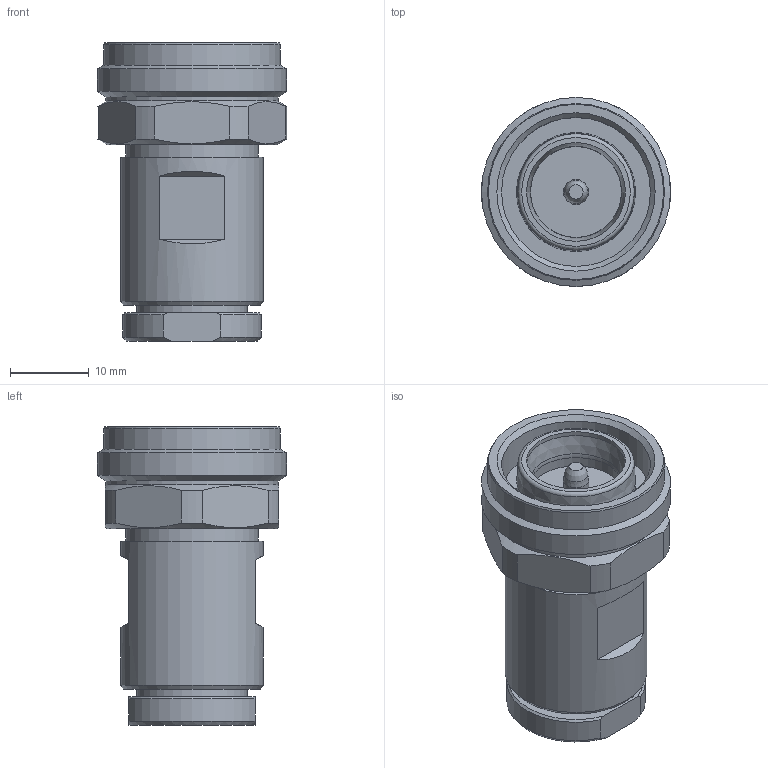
import cadquery as cq
import math


TOP_Z = 37.85

NUT_R = 8.8
NUT_TOP_Z = 3.6
NUT_TOP_CHAMFER = 0.25
NUT_BOTTOM_CHAMFER_R = 0.4
NUT_BOTTOM_CHAMFER_Z = 0.5
FLAT_Y = 8.0

NECK_R = 7.0

BODY_R = 9.03
BODY_BOTTOM_Z = 4.55
BODY_TOP_Z = 23.35
BODY_CHAMFER_R = 0.35
BODY_CHAMFER_Z = 0.5
WRENCH_FLAT_BOTTOM_Z = 12.95
WRENCH_FLAT_HEIGHT = 8.0
WRENCH_RAMP_ANGLE = 30.0

UPPER_NECK_R = 8.42

HEX_ACROSS_FLATS = 22.0
HEX_TURN_ANGLE = 30.0
HEX_CORNER_R = 12.0
HEX_BOTTOM_Z = 24.95
HEX_TOP_Z = 30.5
HEX_END_R = 10.8
HEX_CHAMFER_ANGLE = 30.0

COLLAR_R = 10.95
FLANGE_R = 12.0
FLANGE_BOTTOM_Z = 31.0
FLANGE_FULL_Z = 31.7
FLANGE_TOP_Z = 35.0
FLANGE_CHAMFER_Z = 0.42
LIP_R = 11.22
LIP_CHAMFER_R = 0.1
LIP_CHAMFER_Z = 0.25
MOUTH_R = 9.45
MOUTH_CHAMFER = 0.6
MOUTH_DEPTH = 4.8

TUBE_BASE_R = 7.55
TUBE_TAPER_END_DEPTH = 3.1
TUBE_SHOULDER_R = 7.38
TUBE_RIM_R = 6.9
TUBE_ROUND_DEPTH = 0.45
BORE_R = 5.77
BORE_ENTRY_R = 6.27
BORE_ENTRY_DEPTH = 0.58
BORE_TAPER_END_R = 5.82
BORE_TAPER_END_DEPTH = 3.09
BORE_BLEND_END_DEPTH = 3.65
BORE_DEPTH = 4.95

PIN_R = 1.6
PIN_TAPER_BASE_DEPTH = 3.1
PIN_NOSE_R = 1.5
PIN_NOSE_BASE_DEPTH = 2.25
PIN_TIP_R = 0.9
PIN_TIP_DEPTH = 0.93


def revolve_outline(outline):
    """Close an (r, z) outline and turn it about the Z axis."""
    return outline.close().revolve(360, (0, 0, 0), (0, 1, 0))


def below_top(depth):
    return TOP_Z - depth


def make_rear_nut():
    outline = (
        cq.Workplane("XZ")
        .lineTo(NUT_R - NUT_BOTTOM_CHAMFER_R, 0)
        .lineTo(NUT_R, NUT_BOTTOM_CHAMFER_Z)
        .lineTo(NUT_R, NUT_TOP_Z - NUT_TOP_CHAMFER)
        .lineTo(NUT_R - NUT_TOP_CHAMFER, NUT_TOP_Z)
        .lineTo(0, NUT_TOP_Z)
    )
    flats_slab = cq.Workplane("XY").rect(2 * NUT_R, 2 * FLAT_Y).extrude(NUT_TOP_Z)
    return revolve_outline(outline).intersect(flats_slab)


def make_body():
    outline = (
        cq.Workplane("XZ")
        .moveTo(0, NUT_TOP_Z)
        .lineTo(NECK_R, NUT_TOP_Z)
        .lineTo(NECK_R, BODY_BOTTOM_Z)
        .lineTo(BODY_R - BODY_CHAMFER_R, BODY_BOTTOM_Z)
        .lineTo(BODY_R, BODY_BOTTOM_Z + BODY_CHAMFER_Z)
        .lineTo(BODY_R, BODY_TOP_Z)
        .lineTo(UPPER_NECK_R, BODY_TOP_Z)
        .lineTo(UPPER_NECK_R, HEX_BOTTOM_Z)
        .lineTo(0, HEX_BOTTOM_Z)
    )
    body = revolve_outline(outline)
    for side in (1, -1):
        body = body.cut(make_wrench_cut(side))
    return body


def make_wrench_cut(side):
    """Trapezoidal cutter whose ramped ends widen away from the flat."""
    flat_top_z = WRENCH_FLAT_BOTTOM_Z + WRENCH_FLAT_HEIGHT
    outer_y = 2 * FLAT_Y
    ramp = (outer_y - FLAT_Y) * math.tan(math.radians(WRENCH_RAMP_ANGLE))
    return (
        cq.Workplane("YZ")
        .moveTo(side * FLAT_Y, WRENCH_FLAT_BOTTOM_Z)
        .lineTo(side * outer_y, WRENCH_FLAT_BOTTOM_Z - ramp)
        .lineTo(side * outer_y, flat_top_z + ramp)
        .lineTo(side * FLAT_Y, flat_top_z)
        .close()
        .extrude(BODY_R, both=True)
    )


def make_hex_grip():
    chamfer_z = (HEX_CORNER_R - HEX_END_R) * math.tan(math.radians(HEX_CHAMFER_ANGLE))
    outline = (
        cq.Workplane("XZ")
        .moveTo(0, HEX_BOTTOM_Z)
        .lineTo(HEX_END_R, HEX_BOTTOM_Z)
        .lineTo(HEX_CORNER_R, HEX_BOTTOM_Z + chamfer_z)
        .lineTo(HEX_CORNER_R, HEX_TOP_Z - chamfer_z)
        .lineTo(HEX_END_R, HEX_TOP_Z)
        .lineTo(0, HEX_TOP_Z)
    )
    hex_prism = (
        cq.Workplane("XY", origin=(0, 0, HEX_BOTTOM_Z))
        .polygon(6, HEX_ACROSS_FLATS, circumscribed=True)
        .extrude(HEX_TOP_Z - HEX_BOTTOM_Z)
        .rotate((0, 0, 0), (0, 0, 1), HEX_TURN_ANGLE)
    )
    return revolve_outline(outline).intersect(hex_prism)


def make_front_end():
    """Collar, flange, lip, contact tube and centre pin in one turned shape."""
    outline = (
        cq.Workplane("XZ")
        .moveTo(0, HEX_TOP_Z)
        .lineTo(COLLAR_R, HEX_TOP_Z)
        .lineTo(COLLAR_R, FLANGE_BOTTOM_Z)
        .lineTo(FLANGE_R, FLANGE_FULL_Z)
        .lineTo(FLANGE_R, FLANGE_TOP_Z - FLANGE_CHAMFER_Z)
        .lineTo(LIP_R, FLANGE_TOP_Z)
        .lineTo(LIP_R, below_top(LIP_CHAMFER_Z))
        .lineTo(LIP_R - LIP_CHAMFER_R, TOP_Z)
        .lineTo(MOUTH_R + MOUTH_CHAMFER, TOP_Z)
        .lineTo(MOUTH_R, below_top(MOUTH_CHAMFER))
        .lineTo(MOUTH_R, below_top(MOUTH_DEPTH))
        .lineTo(TUBE_BASE_R, below_top(MOUTH_DEPTH))
        .lineTo(TUBE_BASE_R, below_top(TUBE_TAPER_END_DEPTH))
        .lineTo(TUBE_SHOULDER_R, below_top(TUBE_ROUND_DEPTH))
        .tangentArcPoint((TUBE_RIM_R, TOP_Z), relative=False)
        .lineTo(BORE_ENTRY_R, TOP_Z)
        .lineTo(BORE_ENTRY_R, below_top(BORE_ENTRY_DEPTH))
        .lineTo(BORE_TAPER_END_R, below_top(BORE_TAPER_END_DEPTH))
        .tangentArcPoint((BORE_R, below_top(BORE_BLEND_END_DEPTH)), relative=False)
        .lineTo(BORE_R, below_top(BORE_DEPTH))
        .lineTo(PIN_R, below_top(BORE_DEPTH))
        .lineTo(PIN_R, below_top(PIN_TAPER_BASE_DEPTH))
        .lineTo(PIN_NOSE_R, below_top(PIN_NOSE_BASE_DEPTH))
        .tangentArcPoint((PIN_TIP_R, below_top(PIN_TIP_DEPTH)), relative=False)
        .lineTo(0, below_top(PIN_TIP_DEPTH))
    )
    return revolve_outline(outline)


result = make_rear_nut().union(make_body()).union(make_hex_grip()).union(make_front_end())